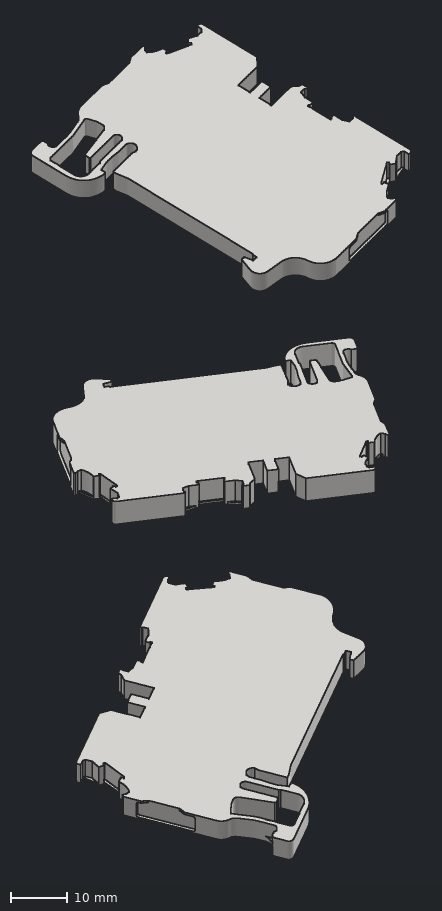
import cadquery as cq

LENGTH = 58.05
HEIGHT = 42.65
THICKNESS = 4.95
BODY_LEFT = 0.5
BODY_RIGHT = LENGTH
BODY_CENTRE = (BODY_LEFT + BODY_RIGHT) / 2
FLOOR = 0.5
BODY_BOTTOM = 6.3
OVERLAP = 0.6

CAP_INSET = 4.75
CAP_RADIUS = 0.65

SLOT_LEFT = 19.55
SLOT_RIGHT = 27.05
SLOT_DEPTH = 7.25
TAB_LEFT = 22.25
TAB_WIDTH = 2.1
TAB_DROP = 3.9

SEAT_CENTRE = 34.8
SEAT_HALF_WIDTH = 5.45
SEAT_DEPTH = 2.1
FLANK_TOP_DROP = 1.2
FLANK_INNER = 2.9
NECK_HALF_WIDTH = 2.3
NECK_DEPTH = 3.0
GROOVE_HALF_WIDTH = 2.55
GROOVE_DEPTH = 3.3

LABEL_TOP = 29.5
LABEL_BOTTOM = 18.45
LABEL_DEPTH = 0.6
LABEL_RIM = 0.5
LABEL_CORNER = 0.45
LABEL_MOUTH_TOP = 28.6
LABEL_MOUTH_BOTTOM = 20.45
LABEL_MOUTH_SLOPE = 1.15

ARM_LEFT = 2.85
FOOT_TOP = 3.9
FOOT_TOP_RADIUS = 0.5
FOOT_BOTTOM_RADIUS = 1.0
FOOT_SWEEP_RADIUS = 5.1
HEEL_LEFT = 1.3
HEEL_START = 6.0
HEEL_HEIGHT = 1.45
HEEL_BEVEL_DROP = 0.5
HEEL_BEVEL_WIDTH = 0.3


def prism(points, bottom=0.0, top=THICKNESS):
    """Straight-sided polygon between two heights."""
    return cq.Workplane("XY").workplane(offset=bottom).polyline(points).close().extrude(top - bottom)


def from_left_corner(points):
    """Turn (inset from body side, drop from top edge) pairs into X, Y points."""
    return [(BODY_LEFT + inset, HEIGHT - drop) for inset, drop in points]


def from_seat_centre(points):
    """Turn (offset from seat centre, drop from top edge) pairs into X, Y points."""
    return [(SEAT_CENTRE + offset, HEIGHT - drop) for offset, drop in points]


def mirrored(shape, centre):
    """Copy of the shape reflected in the plane X = centre."""
    return shape.mirror("YZ", (centre, 0, 0))


def both_sides(shape):
    """The shape together with its copy on the other side of the body."""
    return shape.union(mirrored(shape, BODY_CENTRE))


def body():
    """Full-thickness plate, square at its upper corners."""
    outline = (
        cq.Workplane("XY")
        .moveTo(BODY_LEFT, HEIGHT)
        .lineTo(BODY_LEFT, 14.3)
        .threePointArc((0.8, 13.25), (1.4, 12.4))
        .threePointArc((2.0, 11.9), (2.25, 11.25))
        .lineTo(2.65, 9.0)
        .threePointArc((2.8, 8.25), (ARM_LEFT, 7.45))
        .lineTo(ARM_LEFT, 4.35)
        .threePointArc((2.25, 3.65), (HEEL_LEFT, FOOT_TOP))
        .lineTo(FOOT_TOP_RADIUS, FOOT_TOP)
        .radiusArc((0, FOOT_TOP - FOOT_TOP_RADIUS), -FOOT_TOP_RADIUS)
        .lineTo(0, FOOT_BOTTOM_RADIUS)
        .radiusArc((FOOT_BOTTOM_RADIUS, 0), -FOOT_BOTTOM_RADIUS)
        .lineTo(8.5, 0)
        .radiusArc((13.45, 4.05), -FOOT_SWEEP_RADIUS)
        .lineTo(13.6, 4.75)
        .lineTo(13.45, 4.95)
        .lineTo(12.55, 4.95)
        .lineTo(12.2, 6.85)
        .lineTo(12.2, 8.6)
        .lineTo(12.35, 10.15)
        .lineTo(12.35, 12.35)
        .threePointArc((13.5, 13.3), (14.7, 12.15))
        .lineTo(14.45, 11.4)
        .lineTo(14.45, 5.9)
        .lineTo(15.25, 5.9)
        .lineTo(17.4, BODY_BOTTOM)
        .lineTo(45.75, BODY_BOTTOM)
        .lineTo(45.85, 6.15)
        .lineTo(46.75, 6.15)
        .lineTo(46.75, 5.15)
        .lineTo(45.0, 4.8)
        .lineTo(45.0, 4.05)
        .lineTo(47.5, 3.2)
        .threePointArc((49.45, 3.4), (50.35, 4.75))
        .lineTo(50.9, 8.35)
        .threePointArc((52.1, 10.2), (54.4, 11.15))
        .threePointArc((56.95, 12.35), (BODY_RIGHT, 14.6))
        .lineTo(BODY_RIGHT, HEIGHT)
        .close()
    )
    return outline.extrude(THICKNESS)


def spring_window():
    """Opening that leaves the spring arm, the tongue and the thin leg of the foot."""
    outline = (
        cq.Workplane("XY")
        .moveTo(3.7, 8.05)
        .lineTo(3.0, 12.15)
        .threePointArc((3.0, 12.5), (3.3, 12.7))
        .lineTo(5.05, 13.25)
        .lineTo(6.25, 13.3)
        .threePointArc((6.9, 13.0), (7.2, 12.35))
        .lineTo(8.0, 6.05)
        .lineTo(8.25, 5.8)
        .lineTo(9.1, 5.8)
        .lineTo(9.35, 6.05)
        .lineTo(9.35, 12.4)
        .threePointArc((10.2, 13.3), (11.15, 12.4))
        .lineTo(11.15, 6.4)
        .lineTo(11.3, 6.1)
        .lineTo(11.3, 3.1)
        .threePointArc((10.8, 1.7), (9.45, 1.1))
        .lineTo(4.35, 1.1)
        .threePointArc((3.9, 1.3), (3.7, 1.7))
        .close()
    )
    return outline.extrude(THICKNESS)


def heel():
    """Fuller fillet between arm and foot, on the back part only."""
    outline = (
        cq.Workplane("XY")
        .moveTo(ARM_LEFT, HEEL_START)
        .threePointArc((2.4, 4.7), (HEEL_LEFT, FOOT_TOP))
        .lineTo(HEEL_LEFT, FOOT_TOP - OVERLAP)
        .lineTo(ARM_LEFT + OVERLAP, FOOT_TOP - OVERLAP)
        .lineTo(ARM_LEFT + OVERLAP, HEEL_START)
        .close()
    )
    flat_height = HEEL_HEIGHT - HEEL_BEVEL_DROP
    side_profile = (
        cq.Workplane("XZ")
        .polyline([
            (HEEL_LEFT, flat_height), (ARM_LEFT - HEEL_BEVEL_WIDTH, flat_height), (ARM_LEFT, HEEL_HEIGHT),
            (ARM_LEFT + OVERLAP, HEEL_HEIGHT), (ARM_LEFT + OVERLAP, 0), (HEEL_LEFT, 0),
        ])
        .close()
        .extrude(-HEEL_START)
    )
    return outline.extrude(HEEL_HEIGHT).intersect(side_profile)


def corner_step():
    """Material removed through the full thickness at the upper left corner."""
    step = prism(from_left_corner([
        (-OVERLAP, -OVERLAP), (CAP_INSET, -OVERLAP), (CAP_INSET, 1.05), (5.8, 1.05),
        (5.3, 4.25), (6.0, 5.0), (4.3, 8.75),
        (3.2, 8.75), (1.1, 11.15), (0.75, 10.9), (0.35, 10.4), (0, 10.75), (-OVERLAP, 10.75),
    ]))
    cap_edge = (
        cq.Workplane("XY")
        .moveTo(BODY_LEFT + CAP_INSET, HEIGHT)
        .lineTo(BODY_LEFT + CAP_INSET, HEIGHT - CAP_RADIUS)
        .radiusArc((BODY_LEFT + CAP_INSET + CAP_RADIUS, HEIGHT), CAP_RADIUS)
        .close()
        .extrude(THICKNESS)
    )
    return step.union(cap_edge)


def corner_pockets():
    """Shallow pockets in the faces of the corner step, closed by the floor wall."""
    wire_entry = [(5.8, 1.05), (6.2, 1.4), (6.2, 2.65), (5.3, 4.25)]
    long_face = [(6.0, 5.0), (6.4, 4.7), (6.7, 4.95), (4.5, 9.35), (4.25, 9.35), (4.25, 8.75)]
    face_top, bulge, face_bottom, rim = from_left_corner([(3.15, 8.8), (2.65, 10.0), (1.5, 11.3), (1.1, 11.15)])
    short_face = (
        cq.Workplane("XY")
        .workplane(offset=FLOOR)
        .moveTo(*face_top)
        .threePointArc(bulge, face_bottom)
        .lineTo(*rim)
        .close()
        .extrude(THICKNESS - FLOOR)
    )
    pockets = short_face
    for outline in (wire_entry, long_face):
        pockets = pockets.union(prism(from_left_corner(outline), FLOOR))
    return pockets


def driver_slot():
    """Slot with bevelled mouth and a locating tab standing on its floor."""
    slot = prism([
        (18.1, HEIGHT), (SLOT_LEFT, HEIGHT - 1.75),
        (SLOT_LEFT, HEIGHT - SLOT_DEPTH), (SLOT_RIGHT, HEIGHT - SLOT_DEPTH),
        (SLOT_RIGHT, HEIGHT - 1.7), (28.1, HEIGHT - 0.7), (28.4, HEIGHT),
    ])
    tab_height = SLOT_DEPTH - TAB_DROP
    tab = cq.Workplane("XY").box(TAB_WIDTH, tab_height, THICKNESS, centered=False)
    return slot.cut(tab.translate((TAB_LEFT, HEIGHT - SLOT_DEPTH, 0)))


def marker_seat():
    """Seat cut through the full thickness, with a catch lip at each end."""
    left_lip = [(-5.2, 0), (-5.05, 0.25), (-SEAT_HALF_WIDTH, 0.6)]
    right_lip = [(SEAT_HALF_WIDTH, 0.5), (5.3, 0.45), (5.3, 0)]
    left_flank = [
        (-SEAT_HALF_WIDTH, FLANK_TOP_DROP), (-FLANK_INNER, SEAT_DEPTH), (-NECK_HALF_WIDTH, SEAT_DEPTH),
    ]
    neck = [(-NECK_HALF_WIDTH, NECK_DEPTH), (NECK_HALF_WIDTH, NECK_DEPTH)]
    right_flank = [(-offset, drop) for offset, drop in reversed(left_flank)]
    return prism(from_seat_centre(left_lip + left_flank + neck + right_flank + right_lip))


def seat_pockets():
    """Relief under the sloped flanks and the bottom groove, closed by the floor wall."""
    flank = prism(from_seat_centre([
        (-SEAT_HALF_WIDTH, FLANK_TOP_DROP), (-SEAT_HALF_WIDTH, 1.6),
        (-4.25, SEAT_DEPTH), (-FLANK_INNER, SEAT_DEPTH),
    ]), FLOOR)
    groove = prism(from_seat_centre([
        (-GROOVE_HALF_WIDTH, NECK_DEPTH), (-GROOVE_HALF_WIDTH, GROOVE_DEPTH),
        (GROOVE_HALF_WIDTH, GROOVE_DEPTH), (GROOVE_HALF_WIDTH, NECK_DEPTH),
    ]), FLOOR)
    return flank.union(mirrored(flank, SEAT_CENTRE)).union(groove)


def label_recess():
    """Rounded recess in the left side, opened to the front face along its middle."""
    recess = (
        cq.Workplane("XY")
        .box(LABEL_DEPTH, LABEL_TOP - LABEL_BOTTOM, THICKNESS - LABEL_RIM - FLOOR, centered=False)
        .edges("|X").fillet(LABEL_CORNER)
        .translate((BODY_LEFT, LABEL_BOTTOM, FLOOR))
    )
    inner = BODY_LEFT + LABEL_DEPTH
    mouth = prism([
        (BODY_LEFT, LABEL_MOUTH_TOP), (inner, LABEL_MOUTH_TOP - LABEL_MOUTH_SLOPE),
        (inner, LABEL_MOUTH_BOTTOM + LABEL_MOUTH_SLOPE), (BODY_LEFT, LABEL_MOUTH_BOTTOM),
    ], THICKNESS / 2)
    return recess.union(mouth)


result = (
    body()
    .union(heel())
    .cut(spring_window())
    .cut(both_sides(corner_step()))
    .cut(both_sides(corner_pockets()))
    .cut(both_sides(label_recess()))
    .cut(driver_slot())
    .cut(marker_seat())
    .cut(seat_pockets())
)